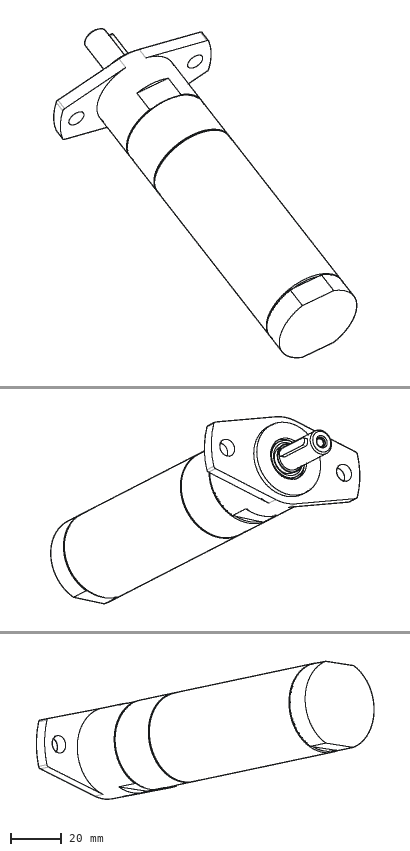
import cadquery as cq
import math

COLLAR_X = 23.0
PILOT_X = 24.1
FLANGE_X = 26.3
FLANGE_BACK_X = 31.4
FRONT_FLATS_X = 44.1
SLEEVE_X = 53.8
SLEEVE_JOINT_X = 74.8
REAR_CAP_X = 160.4
END_X = 169.7

SHAFT_DIA = 10.0
SHAFT_TIP_DIA = 8.5
SHAFT_TIP_LENGTH = 0.7
CENTER_DRILL_DIA = 3.2
CENTER_DRILL_DEPTH = 8.5
CENTER_BORE_DIA = 4.0
CENTER_BORE_DEPTH = 1.4
CENTER_SINK_DIA = 5.1
DRILL_POINT_ANGLE = 118.0

KEY_X = 2.5
KEY_LENGTH = 18.5
KEY_WIDTH = 3.0
KEY_TOP_Y = 6.5

COLLAR_DIA = 11.9
COLLAR_NECK_DIA = 11.4
COLLAR_THICKNESS = 0.2
RECESS_DIA = 17.0
RECESS_DEPTH = 1.7
SEAL_DIA = 15.5
SEAL_SETBACK = 0.5
SEAL_MOUTH_DIA = 13.5

PILOT_DIA = 30.0
FLANGE_SPAN = 70.0
FLANGE_SLOPE = 15.0
FLANGE_CORNER_RADIUS = 1.2
MOUNT_HOLE_DIA = 7.0
MOUNT_HOLE_SPACING = 55.0

BODY_DIA = 36.0
SLEEVE_CHAMFER = 0.5
JOINT_GROOVE_WIDTH = 0.7
JOINT_GROOVE_DEPTH = 0.2
FLATS_WIDTH = 33.0


def cylinder(start_x, end_x, diameter):
    """Round bar along X between two stations."""
    return cq.Workplane("YZ", origin=(start_x, 0, 0)).circle(diameter / 2).extrude(end_x - start_x)


def revolve_profile(points):
    """Solid turned about X from (station, radius) points."""
    return cq.Workplane("XY").polyline(points).close().revolve(360, (0, 0, 0), (1, 0, 0))


def make_body():
    """Front housing, sleeve with chamfered ends and a joint groove, and rear cap."""
    housing = cylinder(FLANGE_X, SLEEVE_X, BODY_DIA)
    sleeve = cylinder(SLEEVE_X, REAR_CAP_X, BODY_DIA).edges("%CIRCLE").chamfer(SLEEVE_CHAMFER)
    rear_cap = cylinder(REAR_CAP_X, END_X, BODY_DIA)
    body = housing.union(sleeve).union(rear_cap)

    radius = BODY_DIA / 2
    half_groove = JOINT_GROOVE_WIDTH / 2
    groove = revolve_profile([
        (SLEEVE_JOINT_X - half_groove, radius),
        (SLEEVE_JOINT_X, radius - JOINT_GROOVE_DEPTH),
        (SLEEVE_JOINT_X + half_groove, radius),
    ])
    return body.cut(groove)


def cut_flats(body, start_x, end_x):
    """Mill wrench flats on the +Z and -Z sides between two stations."""
    length = end_x - start_x
    cut_height = BODY_DIA - FLATS_WIDTH
    for side in (1, -1):
        center = ((start_x + end_x) / 2, 0, side * (FLATS_WIDTH + cut_height) / 2)
        body = body.cut(cq.Workplane("XY", origin=center).box(length, BODY_DIA, cut_height))
    return body


def make_flange():
    """Two-hole plate: sloped sides tangent to the body, ends rounded about the axis."""
    slope = math.radians(FLANGE_SLOPE)
    body_radius = BODY_DIA / 2
    end_radius = FLANGE_SPAN / 2
    tangent_y = body_radius * math.sin(slope)
    tangent_z = body_radius * math.cos(slope)
    corner_angle = math.pi / 2 - slope - math.acos(body_radius / end_radius)
    corner_y = end_radius * math.cos(corner_angle)
    corner_z = end_radius * math.sin(corner_angle)

    plate = (
        cq.Workplane("YZ", origin=(FLANGE_X, 0, 0))
        .moveTo(-tangent_y, tangent_z)
        .threePointArc((0, body_radius), (tangent_y, tangent_z))
        .lineTo(corner_y, corner_z)
        .threePointArc((end_radius, 0), (corner_y, -corner_z))
        .lineTo(tangent_y, -tangent_z)
        .threePointArc((0, -body_radius), (-tangent_y, -tangent_z))
        .lineTo(-corner_y, -corner_z)
        .threePointArc((-end_radius, 0), (-corner_y, corner_z))
        .close()
        .extrude(FLANGE_BACK_X - FLANGE_X)
    )
    for side in (1, -1):
        for end in (1, -1):
            corner = (FLANGE_X, end * corner_y, side * corner_z)
            corner_edge = cq.selectors.NearestToPointSelector(corner)
            plate = plate.edges("|X").edges(corner_edge).fillet(FLANGE_CORNER_RADIUS)
    return plate


def cut_mount_holes(body):
    """Drill the two flange holes, clear of the round housing behind them."""
    offset = MOUNT_HOLE_SPACING / 2
    for y in (-offset, offset):
        hole = cylinder(FLANGE_X, FLANGE_BACK_X, MOUNT_HOLE_DIA).translate((0, y, 0))
        body = body.cut(hole)
    return body


def make_seal():
    """Ring set back in the recess, with a 45 degree cone leading down to the shaft collar neck."""
    face_x = PILOT_X + SEAL_SETBACK
    root_x = PILOT_X + RECESS_DEPTH
    neck_radius = COLLAR_NECK_DIA / 2
    mouth_radius = SEAL_MOUTH_DIA / 2
    return revolve_profile([
        (root_x, neck_radius),
        (face_x + mouth_radius - neck_radius, neck_radius),
        (face_x, mouth_radius),
        (face_x, SEAL_DIA / 2),
        (root_x, SEAL_DIA / 2),
    ])


def make_shaft():
    """Shaft with a chamfered tip, collar, key and a stepped, countersunk center hole."""
    root_x = PILOT_X + RECESS_DEPTH
    shaft = revolve_profile([
        (0, 0),
        (0, SHAFT_TIP_DIA / 2),
        (SHAFT_TIP_LENGTH, SHAFT_DIA / 2),
        (COLLAR_X, SHAFT_DIA / 2),
        (COLLAR_X, COLLAR_DIA / 2),
        (COLLAR_X + COLLAR_THICKNESS, COLLAR_DIA / 2),
        (COLLAR_X + COLLAR_THICKNESS, COLLAR_NECK_DIA / 2),
        (root_x, COLLAR_NECK_DIA / 2),
        (root_x, 0),
    ])

    key = (
        cq.Workplane("XZ", origin=(KEY_X + KEY_LENGTH / 2, 0, 0))
        .slot2D(KEY_LENGTH, KEY_WIDTH)
        .extrude(-KEY_TOP_Y)
    )

    drill_radius = CENTER_DRILL_DIA / 2
    bore_radius = CENTER_BORE_DIA / 2
    sink_radius = CENTER_SINK_DIA / 2
    point_length = drill_radius / math.tan(math.radians(DRILL_POINT_ANGLE / 2))
    center_hole = revolve_profile([
        (0, 0),
        (0, sink_radius),
        (sink_radius - bore_radius, bore_radius),
        (CENTER_BORE_DEPTH, bore_radius),
        (CENTER_BORE_DEPTH, drill_radius),
        (CENTER_DRILL_DEPTH, drill_radius),
        (CENTER_DRILL_DEPTH + point_length, 0),
    ])
    return shaft.union(key).cut(center_hole)


motor = make_body()
motor = cut_flats(motor, FRONT_FLATS_X, SLEEVE_X)
motor = cut_flats(motor, REAR_CAP_X, END_X)
motor = motor.union(cut_mount_holes(make_flange()))
motor = motor.union(cylinder(PILOT_X, FLANGE_X, PILOT_DIA))
motor = motor.cut(cylinder(PILOT_X, PILOT_X + RECESS_DEPTH, RECESS_DIA))
motor = motor.union(make_seal())
result = motor.union(make_shaft())